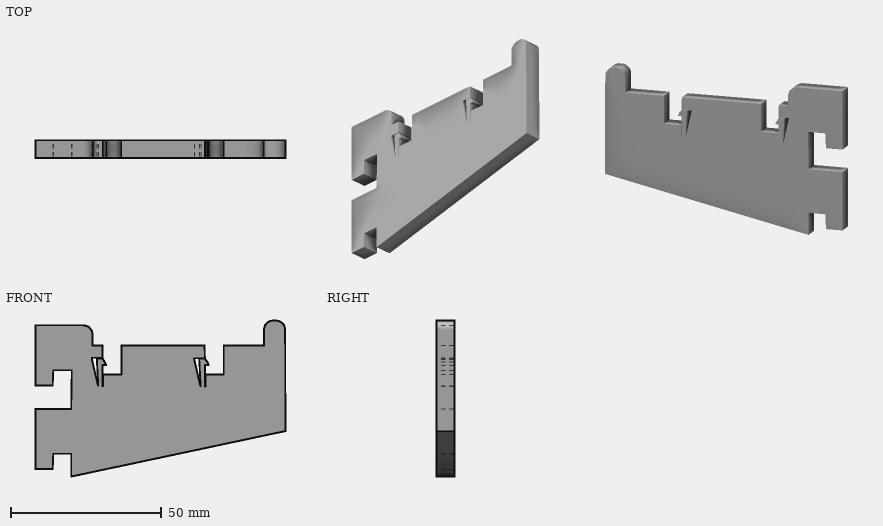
import cadquery as cq

length = 83.3
thickness = 6.0
height = 52.0
end_bottom = 15.2
end_draft = 0.2

tab_tip_width = 5.8
tab_root_width = 6.0
spine_x = 11.9
spine_draft = 0.2
lower_tab_bottom = 2.5
tab_pocket_depth = 5.1
lower_tab_top = 22.6
upper_tab_bottom = 30.3
upper_tab_top = 50.4
upper_tab_right = 19.1
upper_tab_radius = 3.2

shelf_z = 43.7
notch_floor = 34.1
first_notch_width = 6.25
second_notch_width = 6.2
second_notch_draft = 0.2
notch_x = 22.4
notch_pitch = 34.1
post_left = 76.1
post_radius = 3.1

latch_gap = 0.1
first_top_gap = 0.25
second_top_gap = 0.1
slit_top = 39.6
second_slit_drop = 0.2
slit_height = 9.3
slit_top_width = 3.7
slit_bottom_width = 1.5
arm_top_width = 2.0
hook_reach = 1.25
hook_bottom = 37.2
second_hook_kink = (0.75, 1.2)
hook_top_drop = 0.25


def extrude_profile(profile):
    """Extrude an XZ profile through the plate thickness, from Y = 0 to +Y."""
    return profile.close().extrude(-thickness)


def make_plate():
    end_top_x = length - end_draft
    profile = (
        cq.Workplane("XZ")
        .moveTo(spine_x, 0)
        .lineTo(length, end_bottom)
        .lineTo(end_top_x, height - post_radius)
        .tangentArcPoint((end_top_x - post_radius, height), relative=False)
        .lineTo(post_left + post_radius, height)
        .tangentArcPoint((post_left, height - post_radius), relative=False)
        .lineTo(post_left, shelf_z)
        .lineTo(upper_tab_right, shelf_z)
        .lineTo(upper_tab_right, upper_tab_top - upper_tab_radius)
        .tangentArcPoint((upper_tab_right - upper_tab_radius, upper_tab_top), relative=False)
        .lineTo(0, upper_tab_top)
        .lineTo(0, upper_tab_bottom)
        .lineTo(tab_tip_width, upper_tab_bottom)
        .lineTo(tab_root_width, upper_tab_bottom + tab_pocket_depth)
        .lineTo(spine_x + spine_draft, upper_tab_bottom + tab_pocket_depth)
        .lineTo(spine_x, lower_tab_top)
        .lineTo(0, lower_tab_top)
        .lineTo(0, lower_tab_bottom)
        .lineTo(tab_tip_width, lower_tab_bottom)
        .lineTo(tab_root_width, lower_tab_bottom + tab_pocket_depth)
        .lineTo(spine_x, lower_tab_bottom + tab_pocket_depth)
    )
    return extrude_profile(profile)


def make_notch(wall_x, width, draft, lip_z):
    """Notch whose left wall is plumb up to lip_z, then leans left by draft at the shelf."""
    profile = (
        cq.Workplane("XZ")
        .moveTo(wall_x, notch_floor)
        .lineTo(wall_x + width, notch_floor)
        .lineTo(wall_x + width, shelf_z)
        .lineTo(wall_x - draft, shelf_z)
        .lineTo(wall_x, lip_z)
    )
    return extrude_profile(profile)


def make_slit(wall_x, top_z, top_gap):
    """Clearance behind and above the latch arm."""
    bottom_z = top_z - slit_height
    tip_x = wall_x - slit_bottom_width
    profile = (
        cq.Workplane("XZ")
        .moveTo(tip_x, bottom_z)
        .lineTo(wall_x - arm_top_width, top_z - top_gap)
        .lineTo(wall_x, top_z - top_gap)
        .lineTo(wall_x, top_z)
        .lineTo(wall_x - slit_top_width, top_z)
    )
    return extrude_profile(profile)


def make_front_cut(wall_x, bottom_z):
    """Narrow cut freeing the arm below the notch floor."""
    profile = (
        cq.Workplane("XZ")
        .moveTo(wall_x, bottom_z)
        .lineTo(wall_x + latch_gap, bottom_z)
        .lineTo(wall_x + latch_gap, notch_floor)
        .lineTo(wall_x, notch_floor)
    )
    return extrude_profile(profile)


def make_hook(wall_x, top_z, kink=None):
    """Triangular hook, with an optional extra corner on its lead-in face."""
    profile = (
        cq.Workplane("XZ")
        .moveTo(wall_x, hook_bottom)
        .lineTo(wall_x + hook_reach, hook_bottom)
    )
    if kink:
        profile = profile.lineTo(wall_x + kink[0], hook_bottom + kink[1])
    return extrude_profile(profile.lineTo(wall_x, top_z - hook_top_drop))


result = make_plate()
latches = [
    (notch_x, first_notch_width, 0, slit_top, first_top_gap, None),
    (
        notch_x + notch_pitch,
        second_notch_width,
        second_notch_draft,
        slit_top - second_slit_drop,
        second_top_gap,
        second_hook_kink,
    ),
]
for wall_x, width, draft, top_z, top_gap, kink in latches:
    result = result.cut(make_notch(wall_x, width, draft, top_z))
    result = result.cut(make_slit(wall_x, top_z, top_gap))
    result = result.cut(make_front_cut(wall_x, top_z - slit_height))
    result = result.union(make_hook(wall_x, top_z, kink))